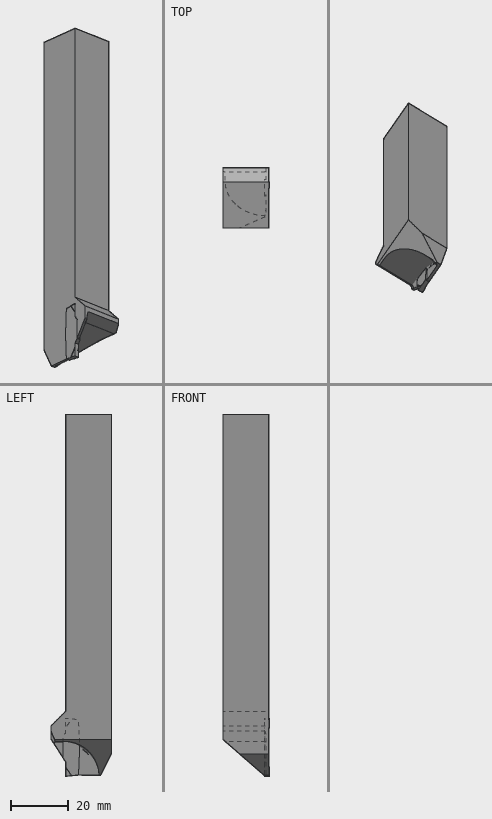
import cadquery as cq
import math


overall_length = 125.0
shank = 15.875
head_height = 20.9
head_shoulder_z = 17.4
head_heel_z = 12.9
holder_end_z = 0.3
front_chamfer_z = 7.8
front_chamfer_depth = 3.8
flank_start_z = 12.7
flank_end_x = 14.6

blade_x = 14.9
clearance_radius = 12.1
clearance_centre_y = 16.4
wall_fillet = 0.8
corner_bevel_depth = 1.5
corner_bevel_height = 3.6

cutting_height = shank
insert_length = 20.0
insert_x = 14.4
insert_back_y = 11.4
insert_mid_back_y = 11.0
insert_crest_y = 16.8
ramp_start_z = 5.0
ramp_end_z = 6.4
end_relief = 0.4
tooth_height = 3.3
tooth_depth = 2.1
tooth_outer_overhang = 0.195
tooth_inner_overhang = 0.1


def prism(points, x_start, x_end):
    """Extrude a closed (Y, Z) outline from x_start to x_end."""
    return (
        cq.Workplane("YZ")
        .workplane(offset=x_start)
        .polyline(points)
        .close()
        .extrude(x_end - x_start)
    )


def make_blank():
    shoulder_top_z = head_shoulder_z + head_height - shank
    outline = [
        (0, overall_length),
        (0, front_chamfer_z),
        (front_chamfer_depth, holder_end_z),
        (insert_back_y, end_relief),
        (cutting_height, ramp_start_z),
        (head_height, head_heel_z),
        (head_height, head_shoulder_z),
        (shank, shoulder_top_z),
        (shank, overall_length),
    ]
    return prism(outline, 0, shank)


def make_flank_cut():
    """Wedge that slopes the cutting end from the -X face towards the tip."""
    return (
        cq.Workplane("XZ")
        .polyline([(0, flank_start_z), (flank_end_x, 0), (0, 0)])
        .close()
        .extrude(-head_height)
    )


def make_bar_clearance():
    """Clearance beside the blade: a quarter round, then a bevel up across the head corner."""
    arc_start_y = clearance_centre_y - clearance_radius
    arc_middle = clearance_radius * math.sqrt(0.5)
    bevel_start_y = head_height - corner_bevel_depth
    bevel_end_y = bevel_start_y + 2 * corner_bevel_depth
    bevel_end_z = clearance_radius + 2 * corner_bevel_height
    cutter = (
        cq.Workplane("YZ")
        .moveTo(arc_start_y, -clearance_radius)
        .lineTo(arc_start_y, 0)
        .threePointArc(
            (clearance_centre_y - arc_middle, arc_middle),
            (clearance_centre_y, clearance_radius),
        )
        .lineTo(bevel_start_y, clearance_radius)
        .lineTo(bevel_end_y, bevel_end_z)
        .lineTo(bevel_end_y, -clearance_radius)
        .close()
        .extrude(blade_x)
    )
    return cutter.faces(">X").edges().fillet(wall_fillet)


def make_insert():
    middle_z = insert_length / 2
    half_outline = [
        (insert_mid_back_y, middle_z),
        (insert_back_y, end_relief),
        (cutting_height, 0),
        (cutting_height, ramp_start_z),
        (insert_crest_y, ramp_end_z),
        (insert_crest_y, middle_z),
    ]
    half_body = prism(half_outline, insert_x, shank)
    tooth_relief = end_relief * tooth_depth / (cutting_height - insert_back_y)
    tooth = prism(
        [
            (cutting_height, 0),
            (cutting_height, tooth_height),
            (cutting_height - tooth_depth, tooth_relief),
        ],
        insert_x - tooth_inner_overhang,
        shank + tooth_outer_overhang,
    )
    half = half_body.union(tooth)
    other_half = half.mirror("XY", (0, 0, middle_z))
    return half.union(other_half)


def make_holder(insert):
    return (
        make_blank()
        .cut(make_flank_cut())
        .cut(make_bar_clearance())
        .cut(insert)
    )


cutting_insert = make_insert()
holder = make_holder(cutting_insert)

result = cq.Compound.makeCompound([holder.val(), cutting_insert.val()])